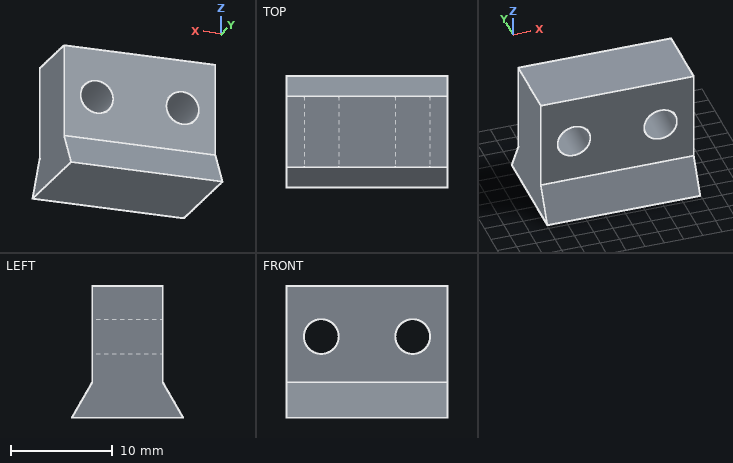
import cadquery as cq
import math

length = 15.9
height = 13.0
base_width = 11.0

flare_height = 3.5
flare_angle = 60.0
flare_overhang = flare_height / math.tan(math.radians(flare_angle))
block_width = base_width - 2 * flare_overhang

hole_diameter = 3.4
hole_spacing = 9.0
hole_depth_from_top = 5.0
hole_height = height - hole_depth_from_top


def dovetail_body():
    """Block with a flared foot, extruded along X and centred on the origin in X and Y."""
    profile = [
        (-base_width / 2, 0),
        (base_width / 2, 0),
        (block_width / 2, flare_height),
        (block_width / 2, height),
        (-block_width / 2, height),
        (-block_width / 2, flare_height),
    ]
    return cq.Workplane("YZ").polyline(profile).close().extrude(length / 2, both=True)


def cross_holes():
    """Pair of cylinders along Y that pass through the block."""
    centers = [(-hole_spacing / 2, hole_height), (hole_spacing / 2, hole_height)]
    return (
        cq.Workplane("XZ")
        .pushPoints(centers)
        .circle(hole_diameter / 2)
        .extrude(base_width / 2, both=True)
    )


result = dovetail_body().cut(cross_holes())